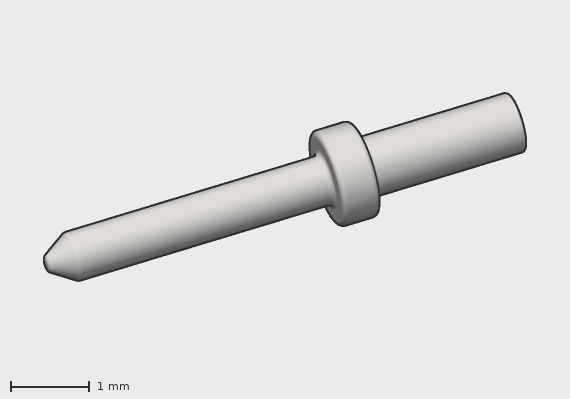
import cadquery as cq

overall_length = 6.4
collar_radius = 1.27 / 2
collar_width = 0.51
shank_radius = 0.79 / 2
pin_radius = 0.65 / 2
pin_length = 3.81
shank_length = overall_length - pin_length - collar_width

tip_radius = 0.2 / 2
cone_length = 0.35

standard_fillet = 0.075
shank_end_fillet = 0.05

tip_y = -pin_length
cone_base_y = tip_y + cone_length
shank_root_y = collar_width
shank_end_y = shank_root_y + shank_length


def turned_blank():
    """Half profile revolved about Y, with every corner still sharp."""
    return (
        cq.Workplane("XY")
        .moveTo(0, tip_y)
        .lineTo(tip_radius, tip_y)
        .lineTo(pin_radius, cone_base_y)
        .lineTo(pin_radius, 0)
        .lineTo(collar_radius, 0)
        .lineTo(collar_radius, shank_root_y)
        .lineTo(shank_radius, shank_root_y)
        .lineTo(shank_radius, shank_end_y)
        .lineTo(0, shank_end_y)
        .close()
        .revolve(360, (0, 0, 0), (0, 1, 0))
    )


def round_edge(body, radius, y, fillet):
    """Fillet the circular edge of the given radius at station y."""
    tolerance = 0.001
    near = (-radius - tolerance, y - tolerance, -radius - tolerance)
    far = (radius + tolerance, y + tolerance, radius + tolerance)
    rings = body.edges("%CIRCLE").edges(cq.selectors.BoxSelector(near, far, boundingbox=True))
    return rings.edges(cq.selectors.RadiusNthSelector(-1)).fillet(fillet)


rounded_edges = [
    (tip_radius, tip_y, standard_fillet),
    (pin_radius, cone_base_y, standard_fillet),
    (pin_radius, 0, standard_fillet),
    (collar_radius, 0, standard_fillet),
    (collar_radius, shank_root_y, standard_fillet),
    (shank_radius, shank_root_y, standard_fillet),
    (shank_radius, shank_end_y, shank_end_fillet),
]

result = turned_blank()
for edge_radius, edge_y, edge_fillet in rounded_edges:
    result = round_edge(result, edge_radius, edge_y, edge_fillet)